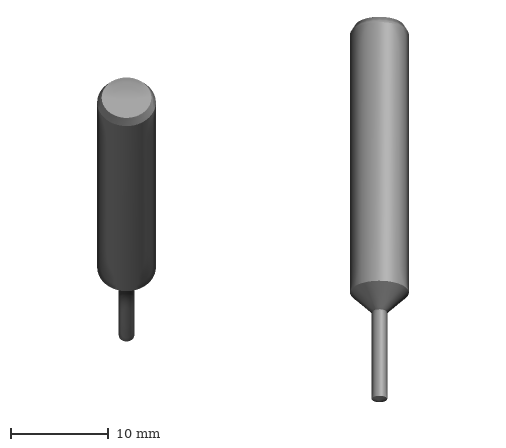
import cadquery as cq
import math

total_length = 42.0
shank_diameter = 6.0
cutter_diameter = 1.6

chamfer_height = 0.8
chamfer_angle = 30.0

neck_angle = 45.0
neck_bottom = 10.0
point_angle = 140.0

shank_radius = shank_diameter / 2
cutter_radius = cutter_diameter / 2
top_radius = shank_radius - chamfer_height * math.tan(math.radians(chamfer_angle))
neck_top = neck_bottom + (shank_radius - cutter_radius) / math.tan(math.radians(neck_angle))
point_height = cutter_radius / math.tan(math.radians(point_angle / 2))


def revolve_profile(points):
    """Turn a closed (radius, height) outline once around the Z axis."""
    return cq.Workplane("XZ").polyline(points).close().revolve(360, (0, 0, 0), (0, 1, 0))


def make_shank():
    """Round shank with a chamfered top and a conical neck."""
    return revolve_profile([
        (0, neck_bottom),
        (cutter_radius, neck_bottom),
        (shank_radius, neck_top),
        (shank_radius, total_length - chamfer_height),
        (top_radius, total_length),
        (0, total_length),
    ])


def make_cutter():
    """Slim pointed cutter that meets the flat end of the neck."""
    return revolve_profile([
        (0, 0),
        (cutter_radius, point_height),
        (cutter_radius, neck_bottom),
        (0, neck_bottom),
    ])


shank = make_shank()
cutter = make_cutter()
result = cq.Compound.makeCompound([shank.val(), cutter.val()])